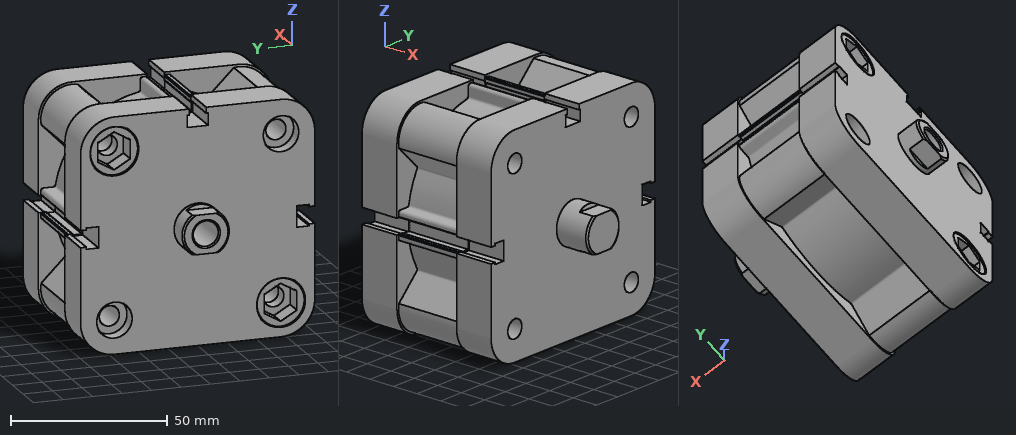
import cadquery as cq
import math

LENGTH = 76.0
SIZE = 79.5
HALF = SIZE / 2
CAP_LEFT = 14.9
CAP_RIGHT = 14.7
BARREL_LENGTH = 25.3
ROD_REACH_LEFT = 8.1
HOUSING_LENGTH = CAP_LEFT + BARREL_LENGTH + CAP_RIGHT

ROD_START = -LENGTH / 2
HOUSING_START = ROD_START + ROD_REACH_LEFT
BARREL_START = HOUSING_START + CAP_LEFT
RIGHT_CAP_START = BARREL_START + BARREL_LENGTH

CAP_CORNER_RADIUS = 11.5
SLOT_ANGLES = (0, 90, 180)
CAP_SLOT_NECK = 5.75
CAP_SLOT_NECK_DEPTH = 2.0
CAP_SLOT_WIDTH = 7.1
CAP_SLOT_DEPTH = 6.1

BARREL_RADIUS = 34.5
BARREL_HALF = 38.96
POST_COUNT = 4
POST_OFFSET = 28.25
POST_RADIUS = BARREL_HALF - POST_OFFSET
POST_HALF_WIDTH = 8.7
ROOT_FILLET = 0.8
EDGE_TOLERANCE = 0.01
RAIL_WIDTH = 10.5
RAIL_EDGE_RADIUS = 1.0
RAIL_SLOT_NECK = 5.7
RAIL_SLOT_WIDTH = 6.3
RAIL_LIP_BOTTOM = 37.15
RAIL_SLOT_CHAMFER = 0.35
RAIL_SLOT_FLOOR = 34.0

THROUGH_DIAMETER = 6.8
COUNTERBORE_DIAMETER = 12.0
COUNTERBORE_DEPTH = 4.9
SCREW_SEAT_DIAMETER = 16.5
SCREW_DIAMETER = 16.0
SCREW_SEAT_DEPTH = 12.0
SCREW_RECESS = 0.4
SCREW_LENGTH = SCREW_SEAT_DEPTH - SCREW_RECESS
HEX_ACROSS_FLATS = 11.0
HEX_DEPTH = 6.5
SCREW_PLACES = ((POST_OFFSET, POST_OFFSET), (-POST_OFFSET, -POST_OFFSET))
PLAIN_HOLE_PLACES = ((POST_OFFSET, -POST_OFFSET), (-POST_OFFSET, POST_OFFSET))

ROD_DIAMETER = 16.0
ROD_CHAMFER = 0.6
FLAT_ACROSS = 13.2
FLAT_LENGTH = 6.2
FLAT_RUNOUT = 0.4
TAP_DIAMETER = 8.5
TAP_DEPTH = 18.0
TAP_CHAMFER = 0.5
DRILL_POINT_ANGLE = 118.0


def section(x):
    """Cross-section plane at station x: local x is +Y, local y is +Z, normal is +X."""
    return cq.Workplane("YZ", origin=(x, 0, 0))


def turned(shape, angle):
    """Turn a shape about the cylinder axis."""
    return shape.rotate((0, 0, 0), (1, 0, 0), angle)


def side_slot(x, length, width, bottom, top):
    """Straight cutter in the +Y side between two distances from the axis."""
    depth = top - bottom
    return section(x).center(bottom + depth / 2, 0).rect(depth, width).extrude(length)


def make_cap(x, length):
    """Square end cap with rounded corners and a T-slot in three sides."""
    cap = section(x).rect(SIZE, SIZE).extrude(length).edges("|X").fillet(CAP_CORNER_RADIUS)
    floor = HALF - CAP_SLOT_DEPTH
    neck = side_slot(x, length, CAP_SLOT_NECK, floor, HALF)
    wide = side_slot(x, length, CAP_SLOT_WIDTH, floor, HALF - CAP_SLOT_NECK_DEPTH)
    slot = neck.union(wide)
    for angle in SLOT_ANGLES:
        cap = cap.cut(turned(slot, angle))
    return cap


def corner_post():
    """Radial web from the axis toward +Y, ended by an arc around the mounting hole."""
    hole_distance = POST_OFFSET * math.sqrt(2)
    arc_start = hole_distance + math.sqrt(POST_RADIUS**2 - POST_HALF_WIDTH**2)
    return (
        section(BARREL_START)
        .moveTo(0, -POST_HALF_WIDTH)
        .lineTo(arc_start, -POST_HALF_WIDTH)
        .threePointArc((hole_distance + POST_RADIUS, 0), (arc_start, POST_HALF_WIDTH))
        .lineTo(0, POST_HALF_WIDTH)
        .close()
        .extrude(BARREL_LENGTH)
    )


def rail_blank():
    """Solid sensor rail on the +Y side with rounded outer edges."""
    rail = side_slot(BARREL_START, BARREL_LENGTH, RAIL_WIDTH, 0, BARREL_HALF)
    return rail.edges("|X and >Y").fillet(RAIL_EDGE_RADIUS)


def rail_slot():
    """Sensor groove cutter on the +Y side, undercut below a narrow flared neck."""
    neck_half = RAIL_SLOT_NECK / 2
    mouth_half = neck_half + RAIL_SLOT_CHAMFER
    flare_start = BARREL_HALF - RAIL_SLOT_CHAMFER
    neck = (
        section(BARREL_START)
        .polyline([
            (RAIL_SLOT_FLOOR, -neck_half),
            (flare_start, -neck_half),
            (BARREL_HALF, -mouth_half),
            (BARREL_HALF, mouth_half),
            (flare_start, neck_half),
            (RAIL_SLOT_FLOOR, neck_half),
        ])
        .close()
        .extrude(BARREL_LENGTH)
    )
    wide = side_slot(BARREL_START, BARREL_LENGTH, RAIL_SLOT_WIDTH, RAIL_SLOT_FLOOR, RAIL_LIP_BOTTOM)
    return neck.union(wide)


def is_root_edge(edge):
    """True for a lengthwise edge where a post or rail meets the round barrel wall."""
    middle = edge.Center()
    on_wall = abs(math.hypot(middle.y, middle.z) - BARREL_RADIUS) < EDGE_TOLERANCE
    return on_wall and abs(middle.x - BARREL_START - BARREL_LENGTH / 2) < EDGE_TOLERANCE


def make_barrel():
    """Round barrel with four corner posts and three grooved rails."""
    barrel = section(BARREL_START).circle(BARREL_RADIUS).extrude(BARREL_LENGTH)
    for quarter in range(POST_COUNT):
        barrel = barrel.union(turned(corner_post(), 45 + 360 / POST_COUNT * quarter))
    for angle in SLOT_ANGLES:
        barrel = barrel.union(turned(rail_blank(), angle))
    root_edges = barrel.edges("|X").filter(is_root_edge)
    barrel = root_edges.fillet(ROOT_FILLET)
    for angle in SLOT_ANGLES:
        barrel = barrel.cut(turned(rail_slot(), angle))
    return barrel


def make_housing():
    """Caps and barrel as one body, bored for the rod, the screws and the mounting holes."""
    housing = make_cap(HOUSING_START, CAP_LEFT)
    housing = housing.union(make_barrel())
    housing = housing.union(make_cap(RIGHT_CAP_START, CAP_RIGHT))
    face = section(HOUSING_START)
    housing = housing.cut(face.circle(ROD_DIAMETER / 2).extrude(HOUSING_LENGTH))
    through_places = face.pushPoints(SCREW_PLACES + PLAIN_HOLE_PLACES)
    housing = housing.cut(through_places.circle(THROUGH_DIAMETER / 2).extrude(HOUSING_LENGTH))
    plain_places = face.pushPoints(PLAIN_HOLE_PLACES)
    housing = housing.cut(plain_places.circle(COUNTERBORE_DIAMETER / 2).extrude(COUNTERBORE_DEPTH))
    screw_places = face.pushPoints(SCREW_PLACES)
    return housing.cut(screw_places.circle(SCREW_SEAT_DIAMETER / 2).extrude(SCREW_SEAT_DEPTH))


def make_screw(y, z):
    """Collar screw set just below the left cap face, with a hexagon socket and a through bore."""
    place = section(HOUSING_START + SCREW_RECESS).center(y, z)
    screw = place.circle(SCREW_DIAMETER / 2).extrude(SCREW_LENGTH)
    hex_corner_diameter = HEX_ACROSS_FLATS / math.cos(math.pi / 6)
    socket = place.transformed(rotate=(0, 0, 90)).polygon(6, hex_corner_diameter).extrude(HEX_DEPTH)
    bore = place.circle(THROUGH_DIAMETER / 2).extrude(SCREW_LENGTH)
    return screw.cut(socket).cut(bore)


def wrench_flat():
    """Cutter for the upper wrench flat at the left rod end, with a sloped run-out."""
    low = FLAT_ACROSS / 2
    high = ROD_DIAMETER / 2
    flat_end = ROD_START + FLAT_LENGTH
    return (
        cq.Workplane("XZ")
        .polyline([(ROD_START, low), (flat_end, low), (flat_end + FLAT_RUNOUT, high), (ROD_START, high)])
        .close()
        .extrude(ROD_DIAMETER / 2, both=True)
    )


def tapped_hole():
    """Threaded hole at the left rod end with a chamfered mouth and a drill point."""
    radius = TAP_DIAMETER / 2
    mouth_radius = radius + TAP_CHAMFER
    bottom = ROD_START + TAP_DEPTH
    tip = bottom + radius / math.tan(math.radians(DRILL_POINT_ANGLE / 2))
    return (
        cq.Workplane("XY")
        .polyline([
            (ROD_START, 0),
            (ROD_START, mouth_radius),
            (ROD_START + TAP_CHAMFER, radius),
            (bottom, radius),
            (tip, 0),
        ])
        .close()
        .revolve(360, (0, 0, 0), (1, 0, 0))
    )


def make_rod():
    """Through rod with a pair of wrench flats at each end and a tapped left end."""
    rod = section(ROD_START).circle(ROD_DIAMETER / 2).extrude(LENGTH)
    rod = rod.faces("<X or >X").chamfer(ROD_CHAMFER)
    upper_flats = wrench_flat().union(wrench_flat().mirror("YZ"))
    rod = rod.cut(upper_flats).cut(upper_flats.mirror("XY"))
    return rod.cut(tapped_hole())


housing = make_housing()
rod = make_rod()
screws = [make_screw(y, z) for y, z in SCREW_PLACES]

result = cq.Compound.makeCompound([
    housing.val(),
    rod.val(),
    *[screw.val() for screw in screws],
])